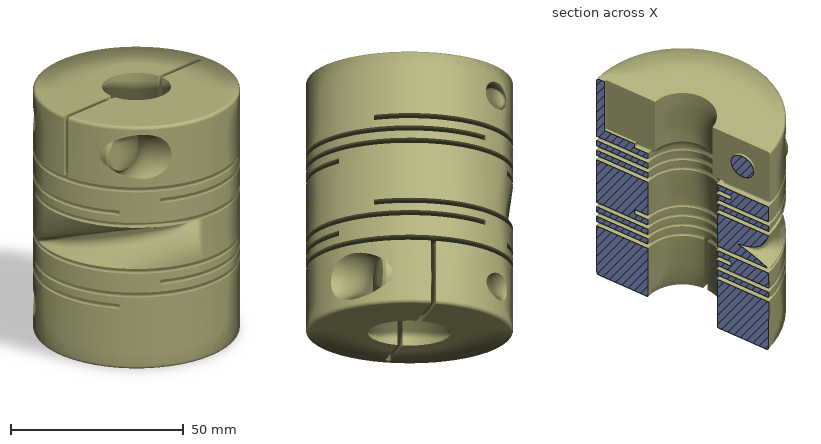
import cadquery as cq

body_length = 76.2
body_diameter = 60.0
edge_round = 1.0
upper_bore_diameter = 20.0
lower_bore_diameter = 24.0

slot_width = 1.5
slot_pitch = 3.7
inner_slot_height = 7.25
bridge_offset = 16.6

slit_width = 1.5
slit_end = 27.0

screw_offset = 20.7
screw_inset = 9.3
screw_diameter = 8.0
head_diameter = 13.95
head_length = screw_diameter
head_top = 14.4
tip_position = -16.8
screw_chamfer = 0.8

UPPER_SLOT_SIDES = ["+X", "-X", "+Y", "-Y"]
LOWER_SLOT_SIDES = ["-Y", "+Y", "+X", "-X"]

TURNS = {"-X": 0, "-Y": 90, "+X": 180, "+Y": 270}

half_length = body_length / 2
outer_slot_height = inner_slot_height + (len(UPPER_SLOT_SIDES) - 1) * slot_pitch
hub_base = outer_slot_height + slot_width / 2
hub_length = half_length - hub_base
screw_height = half_length - screw_inset


def make_body():
    """Cylinder with rounded ends whose bore narrows inside the upper hub."""
    body = cq.Workplane("XY").circle(body_diameter / 2).extrude(half_length, both=True)
    body = body.edges("%CIRCLE").fillet(edge_round)
    upper_bore = cq.Workplane("XY").circle(upper_bore_diameter / 2).extrude(half_length)
    lower_bore = (
        cq.Workplane("XY")
        .workplane(offset=-half_length)
        .circle(lower_bore_diameter / 2)
        .extrude(half_length + hub_base)
    )
    return body.cut(upper_bore).cut(lower_bore)


def flexure_slot(height, side):
    """Slot entering from one side and stopping at the bridge opposite."""
    return (
        cq.Workplane("XY")
        .box(body_diameter, body_diameter, slot_width)
        .translate((bridge_offset - body_diameter / 2, 0, height))
        .rotate((0, 0, 0), (0, 0, 1), TURNS[side])
    )


def rod_along_x(diameter, start, end):
    """Cylinder on the axis of the upper clamp screw."""
    return (
        cq.Workplane("YZ", origin=(start, -screw_offset, screw_height))
        .circle(diameter / 2)
        .extrude(end - start)
    )


def clamp_cuts():
    """Slit, screw hole and counterbore of the upper hub."""
    slit = (
        cq.Workplane("XY")
        .box(slit_width, body_diameter, hub_length)
        .translate((0, slit_end - body_diameter / 2, hub_base + hub_length / 2))
    )
    hole = rod_along_x(screw_diameter, -body_diameter / 2, 0)
    counterbore = rod_along_x(head_diameter, head_top - head_length, body_diameter / 2)
    return slit.union(hole).union(counterbore)


def clamp_screw():
    """Cap screw of the upper hub, filling its hole and the floor of its counterbore."""
    shank = rod_along_x(screw_diameter, tip_position, head_top - head_length)
    shank = shank.faces("<X").chamfer(screw_chamfer)
    head = rod_along_x(head_diameter, head_top - head_length, head_top)
    head = head.faces(">X").chamfer(screw_chamfer)
    return shank.union(head)


def on_lower_hub(shape):
    """Half turn about the X = Y line, taking the upper hub to the lower one."""
    return shape.rotate((0, 0, 0), (1, 1, 0), 180)


result = make_body()

for index, (upper_side, lower_side) in enumerate(zip(UPPER_SLOT_SIDES, LOWER_SLOT_SIDES)):
    height = inner_slot_height + index * slot_pitch
    result = result.cut(flexure_slot(height, upper_side))
    result = result.cut(flexure_slot(-height, lower_side))

result = result.cut(clamp_cuts()).cut(on_lower_hub(clamp_cuts()))
result = result.union(clamp_screw()).union(on_lower_hub(clamp_screw()))